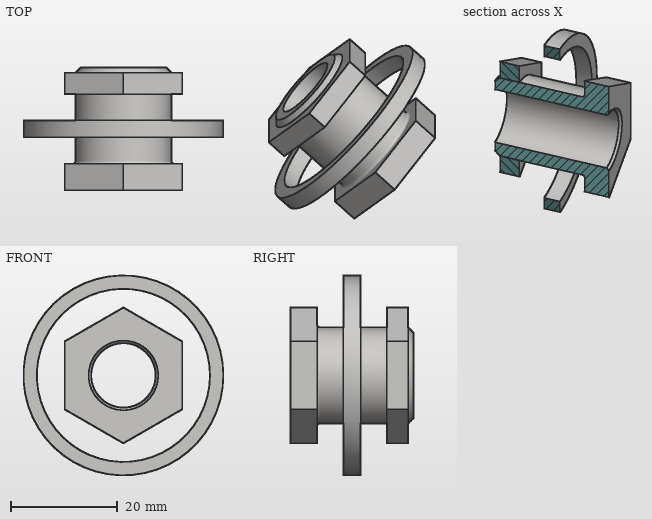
import cadquery as cq
import math


across_flats = 22.0
across_corners = across_flats / math.cos(math.pi / 6)

head_thickness = 5.0
overall_length = 23.0
shank_radius = 9.0
end_chamfer = 1.0
neck_fillet = 0.5
bore_radius = 6.0
bore_chamfer = 0.5

nut_thickness = 4.0
shank_past_nut = end_chamfer
nut_start = overall_length - shank_past_nut - nut_thickness

ring_outer_radius = 18.7
ring_inner_radius = 16.15
ring_thickness = 3.2
ring_start = 9.9


def plane_at(y):
    """Plane across the axis at position y, with its normal along +Y."""
    return cq.Workplane("XZ", origin=(0, y, 0)).transformed(rotate=(180, 0, 0))


def hexagon(y, thickness):
    """Hexagonal prism with two corners in the X = 0 plane, running from y along +Y."""
    return plane_at(y).transformed(rotate=(0, 0, 90)).polygon(6, across_corners).extrude(thickness)


def revolve_about_y(outline):
    """Solid of revolution from an open (radius, y) outline, closed by a straight line."""
    return outline.close().revolve(360, (0, 0, 0), (0, 1, 0))


def make_shank():
    """Chamfered cylinder that meets the head in a concave fillet."""
    fillet_middle = neck_fillet * (1 - math.cos(math.pi / 4))
    outline = (
        cq.Workplane("XY")
        .moveTo(0, 0)
        .lineTo(shank_radius + neck_fillet, 0)
        .lineTo(shank_radius + neck_fillet, head_thickness)
        .threePointArc(
            (shank_radius + fillet_middle, head_thickness + fillet_middle),
            (shank_radius, head_thickness + neck_fillet),
        )
        .lineTo(shank_radius, overall_length - end_chamfer)
        .lineTo(shank_radius - end_chamfer, overall_length)
        .lineTo(0, overall_length)
    )
    return revolve_about_y(outline)


def make_bore():
    """Through bore, chamfered at the head."""
    outline = (
        cq.Workplane("XY")
        .moveTo(0, 0)
        .lineTo(bore_radius + bore_chamfer, 0)
        .lineTo(bore_radius, bore_chamfer)
        .lineTo(bore_radius, overall_length)
        .lineTo(0, overall_length)
    )
    return revolve_about_y(outline)


def make_bolt():
    """Hex head and shank in one piece, bored through."""
    return hexagon(0, head_thickness).union(make_shank()).cut(make_bore())


def make_nut():
    """Hex nut whose hole fits the shank."""
    hole = plane_at(nut_start).circle(shank_radius).extrude(nut_thickness)
    return hexagon(nut_start, nut_thickness).cut(hole)


def make_ring():
    """Flat ring standing clear around the shank."""
    return plane_at(ring_start).circle(ring_outer_radius).circle(ring_inner_radius).extrude(ring_thickness)


bolt = make_bolt()
nut = make_nut()
ring = make_ring()

result = cq.Compound.makeCompound([bolt.val(), nut.val(), ring.val()])